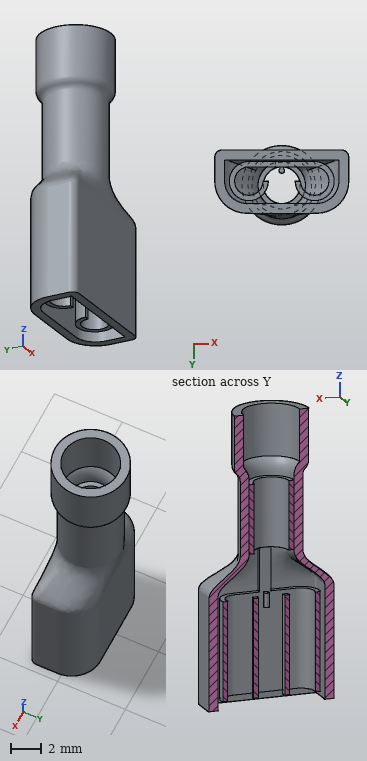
import cadquery as cq
import math

height = 20.35
wall = 0.66

neck_radius = 4.46 / 2
entry_radius = 5.28 / 2
neck_bore_radius = neck_radius - wall
entry_bore_radius = entry_radius - wall
neck_bottom = 10.63
entry_length = 3.65
entry_bottom = height - entry_length

shoulder_radius = wall
throat_radius = 0.6
radius_drop = entry_radius - neck_radius
flare_angle = math.acos(1 - radius_drop / (shoulder_radius + throat_radius))
neck_top = entry_bottom - (shoulder_radius + throat_radius) * math.sin(flare_angle)

shell_top = 7.95
shell_half_width = 8.9 / 2
shell_front = -2.35
shell_back = 1.865
front_corner_radius = 0.5
back_corner_radius = 2.14
cavity_front_corner_radius = 0.1

side_direction = math.radians(-22)
front_direction = math.radians(-32.5)
back_direction = math.radians(54)
blend_sections = 9
blend_skew = 1.15

barrel_radius = neck_bore_radius
barrel_bore_radius = 2.43 / 2
sheet = barrel_radius - barrel_bore_radius
barrel_depth = 0.3
barrel_top = neck_top - barrel_depth
receptacle_bottom = 0.6
receptacle_depth = 0.4
receptacle_top = shell_top - receptacle_depth
roll_center_y = shell_back - back_corner_radius
roll_outer_radius = barrel_radius + roll_center_y
roll_inner_radius = roll_outer_radius - sheet
roll_tip_x = 0.89
roll_center_x = roll_tip_x + roll_outer_radius
link_width = 0.8
link_front = -1.5
stop_radius = 0.38 / 2
stop_tip_y = -0.78
stop_length = 1.0
stop_web_width = 0.26


def arc_point(center_x, center_y, radius, angle):
    return (center_x + radius * math.cos(angle), center_y + radius * math.sin(angle))


def between(start, end, share):
    return tuple(a + (b - a) * share for a, b in zip(start, end))


def shell_points(half_width, front, back, front_radius, back_radius):
    """Right half of the shell outline, front to back: each face's ends and middle."""
    front_x = half_width - front_radius
    front_y = front + front_radius
    back_x = half_width - back_radius
    back_y = back - back_radius
    return [
        (0, front),
        (front_x, front),
        arc_point(front_x, front_y, front_radius, math.radians(-45)),
        (half_width, front_y),
        (half_width, (front_y + back_y) / 2),
        (half_width, back_y),
        arc_point(back_x, back_y, back_radius, math.radians(45)),
        (back_x, back),
        (0, back),
    ]


def circle_points(radius):
    """Points on the neck circle that match those of shell_points."""
    ends = [front_direction, side_direction, 0, back_direction]
    angles = [-math.pi / 2]
    for start, end in zip(ends, ends[1:]):
        angles += [start, (start + end) / 2]
    angles += [back_direction, math.pi / 2]
    return [arc_point(0, 0, radius, angle) for angle in angles]


def closed_wire(points, z, flat_faces):
    """Mirror the half outline and join it with arcs, or lines on the flat faces."""
    mirrored = [(-x, y) for x, y in points[-2:0:-1]]
    loop = [cq.Vector(x, y, z) for x, y in points[1:] + mirrored]
    loop += [cq.Vector(*points[0], z), loop[0]]
    edges = []
    for i in range(0, len(loop) - 1, 2):
        start, middle, end = loop[i:i + 3]
        is_flat = flat_faces and (i // 2) % 2 == 1
        if is_flat:
            edges.append(cq.Edge.makeLine(start, end))
        else:
            edges.append(cq.Edge.makeThreePointArc(start, middle, end))
    return cq.Wire.assembleEdges(edges)


def blend(radius, outline):
    """Smooth transition from the round neck down to the shell outline."""
    circle = circle_points(radius)
    wires = []
    for i in range(blend_sections):
        depth = i / (blend_sections - 1)
        skewed = depth ** blend_skew
        share = skewed ** 2 * (3 - 2 * skewed)
        points = [between(a, b, share) for a, b in zip(circle, outline)]
        points[-1] = between(circle[-1], outline[-1], depth)
        z = neck_bottom + (shell_top - neck_bottom) * depth
        wires.append(closed_wire(points, z, flat_faces=i == blend_sections - 1))
    return cq.Workplane(cq.Solid.makeLoft(wires))


def straight_shell(outline):
    face = cq.Face.makeFromWires(closed_wire(outline, 0, flat_faces=True))
    return cq.Workplane(cq.Solid.extrudeLinear(face, cq.Vector(0, 0, shell_top)))


def neck_tube():
    """Neck, flare and wire entry, revolved with their bore."""
    def shoulder(angle):
        return arc_point(entry_radius - shoulder_radius, entry_bottom, shoulder_radius, -angle)

    def throat(radius, angle):
        return arc_point(neck_radius + throat_radius, neck_top, radius, math.pi - angle)

    bore_throat_radius = throat_radius + wall
    return (
        cq.Workplane("XZ")
        .moveTo(neck_bore_radius, neck_bottom)
        .lineTo(neck_radius, neck_bottom)
        .lineTo(neck_radius, neck_top)
        .threePointArc(throat(throat_radius, flare_angle / 2), throat(throat_radius, flare_angle))
        .threePointArc(shoulder(flare_angle / 2), (entry_radius, entry_bottom))
        .lineTo(entry_radius, height)
        .lineTo(entry_bore_radius, height)
        .lineTo(entry_bore_radius, entry_bottom)
        .threePointArc(throat(bore_throat_radius, flare_angle / 2), (neck_bore_radius, neck_top))
        .close()
        .revolve(360, (0, 0, 0), (0, 1, 0))
    )


def make_housing():
    outside = shell_points(
        shell_half_width, shell_front, shell_back, front_corner_radius, back_corner_radius
    )
    inside = shell_points(
        shell_half_width - wall,
        shell_front + wall,
        shell_back - wall,
        cavity_front_corner_radius,
        back_corner_radius - wall,
    )
    shell = straight_shell(outside).cut(straight_shell(inside))
    transition = blend(neck_radius, outside).cut(blend(neck_bore_radius, inside))
    return shell.union(transition).union(neck_tube())


def receptacle():
    """Flat base whose two edges roll up, over and back down toward the base."""
    def roll_point(radius, angle):
        return arc_point(roll_center_x, roll_center_y, radius, angle)

    base_outer = roll_center_y - roll_outer_radius
    base_inner = roll_center_y - roll_inner_radius
    roll_middle = math.radians(45)
    half = (
        cq.Workplane("XY", origin=(0, 0, receptacle_bottom))
        .moveTo(0, base_outer)
        .lineTo(roll_center_x, base_outer)
        .threePointArc(roll_point(roll_outer_radius, roll_middle), roll_point(roll_outer_radius, math.pi))
        .lineTo(*roll_point(roll_inner_radius, math.pi))
        .threePointArc(roll_point(roll_inner_radius, roll_middle), (roll_center_x, base_inner))
        .lineTo(0, base_inner)
        .close()
        .extrude(receptacle_top - receptacle_bottom)
    )
    return half.union(half.mirror("YZ"))


def barrel():
    return (
        cq.Workplane("XY", origin=(0, 0, neck_bottom))
        .circle(barrel_radius)
        .circle(barrel_bore_radius)
        .extrude(barrel_top - neck_bottom)
    )


def link():
    """Narrow strip from the receptacle base up to the front of the barrel."""
    return cq.Workplane("XY").box(
        link_width,
        -barrel_bore_radius - link_front,
        neck_bottom - receptacle_bottom,
        centered=(True, False, False),
    ).translate((0, link_front, receptacle_bottom))


def stop():
    """Short round bead on a thin web, standing on the upper end of the receptacle base."""
    bead_center_y = stop_tip_y - stop_radius
    stop_bottom = receptacle_top - stop_length
    bead = (
        cq.Workplane("XY", origin=(0, bead_center_y, stop_bottom))
        .circle(stop_radius)
        .extrude(stop_length)
    )
    web = cq.Workplane("XY").box(
        stop_web_width,
        bead_center_y - link_front,
        stop_length,
        centered=(True, False, False),
    ).translate((0, link_front, stop_bottom))
    return bead.union(web)


def make_terminal():
    return receptacle().union(link()).union(barrel()).union(stop())


housing = make_housing()
terminal = make_terminal()

result = cq.Compound.makeCompound([housing.solids().val(), terminal.solids().val()])